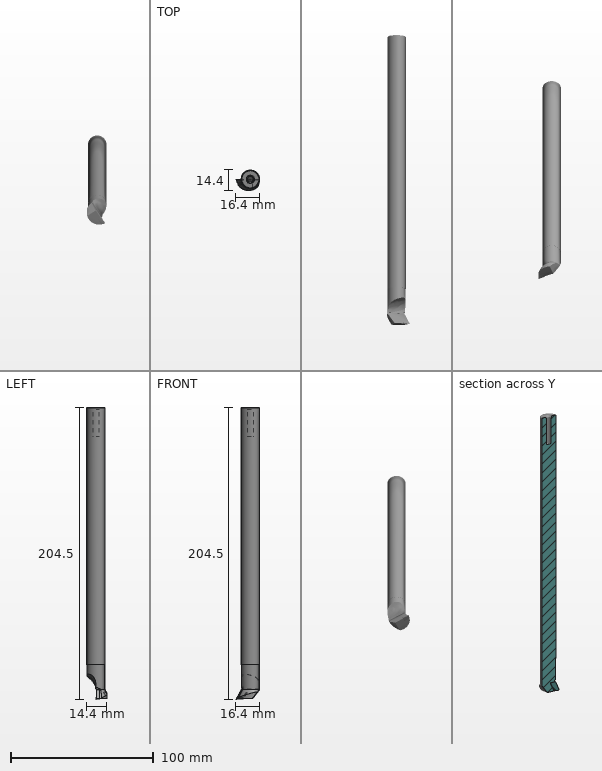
import cadquery as cq
import math

LENGTH = 204.5
SHANK_DIAMETER = 12.9
NECK_DIAMETER = 12.7
NECK_TOP = 24.5
END_CHAMFER = 0.5

HOLE_DIAMETER = 4.0
HOLE_DEPTH = 20.5
COUNTERSINK_DIAMETER = 5.7
COUNTERSINK_ANGLE = 60.0

OVERALL_WIDTH = 16.4
HEAD_BOTTOM = 0.5
HEAD_TOP = 7.0
WALL_DIAMETER = 17.4
WALL_X = -1.2
WALL_Y = 0.8
RELIEF_BOTTOM_X = 1.5
RELIEF_TOP_Z = 6.7

FLUTE_RADIUS = 8.5
FLUTE_START = 8.5
FLUTE_DROP = 0.3
CUTTER_REACH = 20.5

INSERT_THICKNESS = 2.7
INSERT_WIDTH = 4.5
INSERT_SIDE_RELIEF = 0.6
INSERT_BOTTOM_RELIEF = 0.5
NOSE_LIP_HEIGHT = 1.2
RAKE_DEPTH = 0.5
RAKE_TOP = 7.4

CLEARANCE_DEPTH = 3.9
CLEARANCE_FRONT_INSET = 0.51
CLEARANCE_BACK_INSET = 1.0
LEDGE_FRONT_Z = 8.5
LEDGE_BACK_Z = 6.7

SHANK_RADIUS = SHANK_DIAMETER / 2
NECK_RADIUS = NECK_DIAMETER / 2
TIP_REACH = OVERALL_WIDTH - SHANK_RADIUS
FLARE_LEAN = (TIP_REACH - NECK_RADIUS) / HEAD_TOP


def make_shank():
    neck_length = NECK_TOP - HEAD_BOTTOM
    neck = cq.Workplane("XY").workplane(offset=HEAD_BOTTOM).circle(NECK_RADIUS).extrude(neck_length)
    shank = cq.Workplane("XY").workplane(offset=NECK_TOP).circle(SHANK_RADIUS).extrude(LENGTH - NECK_TOP)
    shank = shank.faces(">Z").chamfer(END_CHAMFER)
    shank = shank.faces(">Z").workplane().cskHole(
        HOLE_DIAMETER, COUNTERSINK_DIAMETER, COUNTERSINK_ANGLE, depth=HOLE_DEPTH
    )
    return shank.union(neck)


def make_head():
    bottom_radius = TIP_REACH - FLARE_LEAN * HEAD_BOTTOM
    cone = (
        cq.Workplane("XZ")
        .polyline([(0, HEAD_BOTTOM), (bottom_radius, HEAD_BOTTOM), (NECK_RADIUS, HEAD_TOP), (0, HEAD_TOP)])
        .close()
        .revolve(360, (0, 0, 0), (0, 1, 0))
    )
    wall = cq.Workplane("XY").center(WALL_X, WALL_Y).circle(WALL_DIAMETER / 2).extrude(HEAD_TOP)
    return cone.intersect(wall)


def make_end_relief():
    slope = (RELIEF_TOP_Z - HEAD_BOTTOM) / (SHANK_RADIUS - RELIEF_BOTTOM_X)
    outer_x = 2 * SHANK_RADIUS
    outer_z = HEAD_BOTTOM + slope * (outer_x - RELIEF_BOTTOM_X)
    return (
        cq.Workplane("XZ")
        .polyline([(RELIEF_BOTTOM_X, HEAD_BOTTOM), (outer_x, HEAD_BOTTOM), (outer_x, outer_z)])
        .close()
        .extrude(CUTTER_REACH, both=True)
    )


def make_flute():
    side = 2 * CUTTER_REACH
    shift = FLUTE_DROP * CUTTER_REACH
    middle = FLUTE_RADIUS * (1 - math.sqrt(0.5))
    rise = FLUTE_RADIUS * math.sqrt(0.5)
    section = (
        cq.Workplane("YZ", origin=(-CUTTER_REACH, 0, shift))
        .moveTo(0, -side)
        .lineTo(0, FLUTE_START)
        .threePointArc((middle, FLUTE_START + rise), (FLUTE_RADIUS, FLUTE_START + FLUTE_RADIUS))
        .lineTo(side, FLUTE_START + FLUTE_RADIUS)
        .lineTo(side, -side)
        .close()
    )
    path = cq.Workplane("XZ").moveTo(-CUTTER_REACH, shift).lineTo(CUTTER_REACH, -shift)
    return section.sweep(path)


def insert_outline(side_relief, bottom_relief):
    left = -TIP_REACH + side_relief
    bottom_left = left + FLARE_LEAN * bottom_relief
    top_left = left + FLARE_LEAN * HEAD_TOP
    return [
        (bottom_left, bottom_relief),
        (bottom_left + INSERT_WIDTH, INSERT_BOTTOM_RELIEF),
        (top_left + INSERT_WIDTH, HEAD_TOP),
        (top_left, HEAD_TOP),
    ]


def make_insert():
    return (
        cq.Workplane("XZ")
        .polyline(insert_outline(0, 0))
        .close()
        .workplane(offset=INSERT_THICKNESS)
        .polyline(insert_outline(INSERT_SIDE_RELIEF, INSERT_BOTTOM_RELIEF))
        .close()
        .loft(ruled=True)
    )


def clearance_outline(inset, ledge_z):
    bottom_x = -TIP_REACH + inset
    ledge_x = bottom_x + FLARE_LEAN * ledge_z
    outer_x = -2 * TIP_REACH
    return [(bottom_x, 0), (ledge_x, ledge_z), (outer_x, ledge_z), (outer_x, 0)]


def make_clearance():
    return (
        cq.Workplane("XZ")
        .polyline(clearance_outline(CLEARANCE_FRONT_INSET, LEDGE_FRONT_Z))
        .close()
        .workplane(offset=CLEARANCE_DEPTH)
        .polyline(clearance_outline(CLEARANCE_BACK_INSET, LEDGE_BACK_Z))
        .close()
        .loft(ruled=True)
    )


def make_rake_recess(bottom):
    return (
        cq.Workplane("XY")
        .workplane(offset=bottom)
        .rect(2 * CUTTER_REACH, 2 * RAKE_DEPTH)
        .extrude(RAKE_TOP - bottom)
    )


insert_blank = make_insert()
insert = insert_blank.cut(make_rake_recess(NOSE_LIP_HEIGHT))
bar = make_shank().union(make_head())
bar = bar.cut(make_end_relief()).cut(make_flute()).cut(make_clearance())
bar = bar.cut(make_rake_recess(0)).cut(insert_blank)

result = cq.Compound.makeCompound([bar.val(), insert.val()])